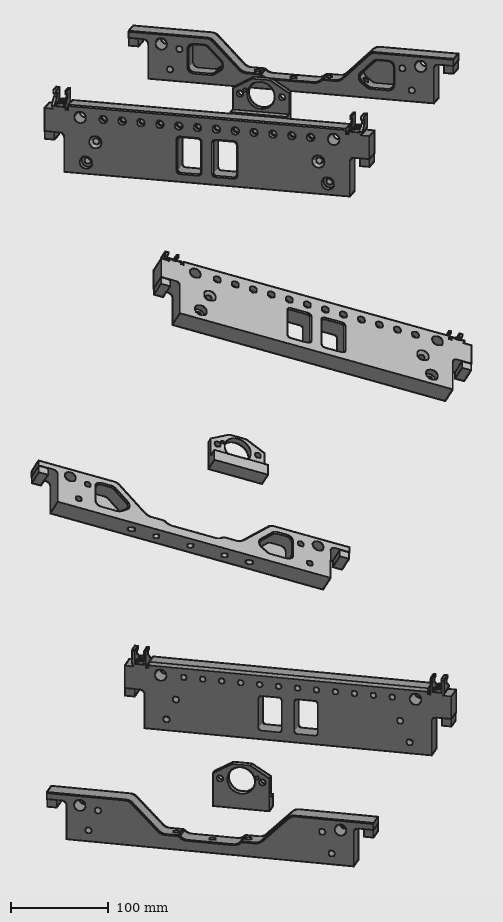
import cadquery as cq
import math

LENGTH = 346.0
DEPTH = 340.0
PLATE_T = 20.0
BODY_W = 304.0
WING_BOTTOM = 42.2
HOOK_W = 10.5
HOOK_BOTTOM = 33.5
HOOK_INSET = 0.7
HOOK_END_INSET = 0.17
WING_CORNER_R = 5.0
TOP_BEVEL = 1.0
RIM_BEVEL = 1.5
UPPER_SCREW = (118.7, 35.0)
LOWER_SCREW = (128.7, 12.0)
SCREW_D = 6.5
DOWEL_D = 12.0

FRONT_Y = 0.0
WING_TOP = 67.0
RIB_W = 295.5
RIB_TOP = 72.5
RIB_FRONT_CHAMFER = 1.5
RIB_BACK_CHAMFER = 2.8
FRONT_DOWEL = (135.0, 60.2)
SCREW_HEAD_D = 13.0
LOWER_HEAD_DEPTH = 7.0
ROW_COUNT = 12
ROW_PITCH = 20.0
ROW_D = 6.0
ROW_MOUTH_D = 8.0
ROW_MOUTH_DEPTH = 7.0
WINDOW_W = 24.5
WINDOW_H = 38.0
WINDOW_X = 19.0
WINDOW_BOTTOM = 9.7
WINDOW_R = 3.0

FIN_TOP = 85.0
FIN_OUTER_X = 165.5
FIN_OUTER_T = 3.0
FIN_INNER_X = 152.5
FIN_INNER_T = 1.7
FIN_FOOT_H = 2.8
FIN_UNDERCUT = 1.5
FIN_FRONT_TOP = 71.0
FIN_NOSE_Y = 7.5
FIN_NOSE_D = 3.8
FIN_NECK_Y = 10.0
FIN_NECK_BOTTOM = 77.0
FIN_SLOPE_BACK_Y = 9.0
FIN_BACK_CHAMFER = 1.5
SADDLE_TOP = 70.0
BOSS_D = 8.5
BOSS_HOLE_D = 5.0
BOSS_H = RIB_TOP - SADDLE_TOP
BOSS_PITCH = PLATE_T / 2

BRACKET_W = 60.0
BRACKET_BACK = 212.8
BRACKET_WALL_T = 7.0
BRACKET_FOOT_DEPTH = 16.0
BRACKET_FOOT_H = 13.5
BRACKET_H = 48.5
BRACKET_SHOULDER_H = 36.5
BRACKET_CREST_W = 19.0
BORE_D = 29.0
BORE_Z = 31.0
BRACKET_HOLE_D = 6.5
BRACKET_HOLE_X = 22.5
PIN_HOLE_D = 3.5
PIN_HOLE = (-17.0, 35.5)

REAR_Y = DEPTH - PLATE_T
REAR_TOP = 49.8
SEAT_TOP = 16.0
SEAT_OUTER_X = 51.5
FLANK_TOP_X = SEAT_OUTER_X + REAR_TOP - SEAT_TOP
BEND_R = 10.0
MIDDLE_DROP = 4.0
MIDDLE_EDGE_X = 32.5
MIDDLE_FLAT_X = 24.2
TOP_HOLE_D = 6.5
TOP_HOLE_PITCH = 38.0
REAR_DOWEL = (138.0, 38.8)
POCKET_DEPTH = 17.0
POCKET_R = 6.0
POCKET_OUTER_X = 109.0
POCKET_FLOOR = 11.0
POCKET_CEILING = 41.0
POCKET_HEEL = (83.7, POCKET_FLOOR)
POCKET_TIP = (70.2, 20.8)
POCKET_SHOULDER = (90.3, POCKET_CEILING)
POCKET = [
    (POCKET_OUTER_X, POCKET_FLOOR),
    POCKET_HEEL,
    POCKET_TIP,
    POCKET_SHOULDER,
    (POCKET_OUTER_X, POCKET_CEILING),
]
SLANTED_HOLE_D = 6.5

TOL = 0.5


def block(x0, x1, y0, y1, z0, z1):
    return cq.Workplane("XY").box(x1 - x0, y1 - y0, z1 - z0, centered=False).translate((x0, y0, z0))


def extrude_y(outline, y0, y1):
    """Prism along Y with an outline given as a closed list of (x, z) points."""
    return cq.Workplane("XZ", origin=(0, y0, 0)).polyline(outline).close().extrude(y0 - y1)


def hole_y(x, z, diameter, y0, depth):
    return cq.Workplane("XZ", origin=(x, y0, z)).circle(diameter / 2).extrude(-depth)


def cone_y(x, z, diameter, y0):
    """45 degree countersink opening toward -Y."""
    r = diameter / 2
    return cq.Workplane(cq.Solid.makeCone(r, 0, r, cq.Vector(x, y0, z), cq.Vector(0, 1, 0)))


def mirrored(points, side):
    return [(side * x, z) for x, z in points]


def both_sides(solid):
    return solid.union(solid.mirror("YZ"))


def box_region(x0, x1, z0, z1):
    """Selects what has its center in this X-Z region, at any Y."""
    return cq.selectors.BoxSelector((x0, -TOL, z0), (x1, DEPTH + TOL, z1))


def cut_opening(plate, outline, y0, depth, corner_r):
    """Opening in a plate's -Y face, with rounded corners and a bevelled rim."""
    plate = plate.cut(extrude_y(outline, y0, y0 + depth).edges("|Y").fillet(corner_r))
    xs = [x for x, z in outline]
    zs = [z for x, z in outline]
    rim = box_region(min(xs) - TOL, max(xs) + TOL, min(zs) - TOL, max(zs) + TOL)
    return plate.faces("<Y").edges(rim).chamfer(RIM_BEVEL)


def hooks(y0):
    """Small lugs hanging below the outer ends of the wings, thinner than the plate."""
    inner = LENGTH / 2 - HOOK_W
    outer = LENGTH / 2 - HOOK_END_INSET
    y1 = y0 + PLATE_T - HOOK_INSET
    hook = block(inner, outer, y0 + HOOK_INSET, y1, HOOK_BOTTOM, WING_BOTTOM)
    return both_sides(hook)


def winged_plate(y0, top):
    """Upright plate whose upper part reaches out past the body to the full length."""
    half = BODY_W / 2
    body = block(-half, half, y0, y0 + PLATE_T, 0, top)
    wings = block(-LENGTH / 2, LENGTH / 2, y0, y0 + PLATE_T, WING_BOTTOM, top)
    plate = body.union(wings)
    corners = box_region(-half - TOL, half + TOL, WING_BOTTOM - TOL, WING_BOTTOM + TOL)
    plate = plate.edges("|Y").edges(corners).fillet(WING_CORNER_R)
    return plate.union(hooks(y0))


def rib():
    profile = [
        (0, WING_TOP),
        (0, RIB_TOP - RIB_FRONT_CHAMFER),
        (RIB_FRONT_CHAMFER, RIB_TOP),
        (PLATE_T - RIB_BACK_CHAMFER, RIB_TOP),
        (PLATE_T, RIB_TOP - RIB_BACK_CHAMFER),
        (PLATE_T, WING_TOP),
    ]
    return cq.Workplane("YZ").polyline(profile).close().extrude(RIB_W / 2, both=True)


def fin(x0, thickness):
    """Upright latch fin with a half-round nose over a notch in its front."""
    nose_bottom = FIN_TOP - FIN_NOSE_D
    nose_tip = (FIN_NOSE_Y - FIN_NOSE_D / 2, FIN_TOP - FIN_NOSE_D / 2)
    return (
        cq.Workplane("YZ", origin=(x0, 0, 0))
        .moveTo(0, WING_TOP)
        .lineTo(0, FIN_FRONT_TOP)
        .lineTo(FIN_SLOPE_BACK_Y, FIN_NECK_BOTTOM)
        .lineTo(FIN_NECK_Y, FIN_NECK_BOTTOM)
        .lineTo(FIN_NECK_Y, nose_bottom)
        .lineTo(FIN_NOSE_Y, nose_bottom)
        .threePointArc(nose_tip, (FIN_NOSE_Y, FIN_TOP))
        .lineTo(PLATE_T - FIN_BACK_CHAMFER, FIN_TOP)
        .lineTo(PLATE_T, FIN_TOP - FIN_BACK_CHAMFER)
        .lineTo(PLATE_T, WING_TOP)
        .close()
        .extrude(thickness)
    )


def fin_pair():
    """Two fins on a wing, with a low saddle and two hollow bosses between them."""
    outer_inside = FIN_OUTER_X - FIN_OUTER_T
    outer = fin(outer_inside, FIN_OUTER_T)
    inner = fin(FIN_INNER_X - FIN_INNER_T, FIN_INNER_T)
    saddle = block(FIN_INNER_X, outer_inside, 0, PLATE_T, WING_TOP, SADDLE_TOP)
    boss_x = (FIN_INNER_X + outer_inside) / 2
    for side in (-1, 1):
        center = (boss_x, PLATE_T / 2 + side * BOSS_PITCH / 2, SADDLE_TOP)
        boss = cq.Workplane("XY", origin=center).circle(BOSS_D / 2).circle(BOSS_HOLE_D / 2).extrude(BOSS_H)
        saddle = saddle.union(boss)
    undercut = extrude_y(
        [
            (FIN_OUTER_X, WING_TOP),
            (FIN_OUTER_X, WING_TOP + FIN_FOOT_H),
            (FIN_OUTER_X - FIN_UNDERCUT, WING_TOP),
        ],
        0,
        PLATE_T,
    )
    return outer.union(saddle).union(inner).cut(undercut)


def make_front_plate():
    plate = winged_plate(FRONT_Y, WING_TOP).union(rib()).union(both_sides(fin_pair()))
    for side in (-1, 1):
        x, z = UPPER_SCREW
        plate = plate.cut(hole_y(side * x, z, SCREW_D, FRONT_Y, PLATE_T))
        plate = plate.cut(cone_y(side * x, z, SCREW_HEAD_D, FRONT_Y))
        x, z = LOWER_SCREW
        plate = plate.cut(hole_y(side * x, z, SCREW_D, FRONT_Y, PLATE_T))
        plate = plate.cut(hole_y(side * x, z, SCREW_HEAD_D, FRONT_Y, LOWER_HEAD_DEPTH))
        x, z = FRONT_DOWEL
        plate = plate.cut(hole_y(side * x, z, DOWEL_D, FRONT_Y, PLATE_T))
        x0 = side * WINDOW_X - WINDOW_W / 2
        x1 = side * WINDOW_X + WINDOW_W / 2
        z1 = WINDOW_BOTTOM + WINDOW_H
        outline = [(x0, WINDOW_BOTTOM), (x1, WINDOW_BOTTOM), (x1, z1), (x0, z1)]
        plate = cut_opening(plate, outline, FRONT_Y, PLATE_T, WINDOW_R)
    row_z = FRONT_DOWEL[1]
    for i in range(ROW_COUNT):
        x = (i - (ROW_COUNT - 1) / 2) * ROW_PITCH
        plate = plate.cut(hole_y(x, row_z, ROW_D, FRONT_Y, PLATE_T))
        plate = plate.cut(hole_y(x, row_z, ROW_MOUTH_D, FRONT_Y, ROW_MOUTH_DEPTH))
    return plate


def make_bracket():
    half = BRACKET_W / 2
    crest = BRACKET_CREST_W / 2
    outline = [
        (-half, 0),
        (half, 0),
        (half, BRACKET_SHOULDER_H),
        (crest, BRACKET_H),
        (-crest, BRACKET_H),
        (-half, BRACKET_SHOULDER_H),
    ]
    wall_y = BRACKET_BACK - BRACKET_WALL_T
    wall = extrude_y(outline, wall_y, BRACKET_BACK)
    foot = block(-half, half, BRACKET_BACK - BRACKET_FOOT_DEPTH, wall_y, 0, BRACKET_FOOT_H)
    bracket = wall.union(foot).cut(hole_y(0, BORE_Z, BORE_D, wall_y, BRACKET_WALL_T))
    for side in (-1, 1):
        bracket = bracket.cut(hole_y(side * BRACKET_HOLE_X, BORE_Z, BRACKET_HOLE_D, wall_y, BRACKET_WALL_T))
    return bracket.cut(hole_y(*PIN_HOLE, PIN_HOLE_D, wall_y, BRACKET_WALL_T))


def saddle_cut():
    """Wide dip in the rear plate's top, with 45 degree flanks and rounded bends."""
    outline = [
        (-FLANK_TOP_X, REAR_TOP),
        (-SEAT_OUTER_X, SEAT_TOP),
        (SEAT_OUTER_X, SEAT_TOP),
        (FLANK_TOP_X, REAR_TOP),
    ]
    return extrude_y(outline, REAR_Y, DEPTH)


def middle_cut():
    """Lower middle stretch, its floor rising through an arc at each end."""
    floor = SEAT_TOP - MIDDLE_DROP
    run = MIDDLE_EDGE_X - MIDDLE_FLAT_X
    radius = (run**2 + MIDDLE_DROP**2) / (2 * MIDDLE_DROP)
    half_angle = math.asin(run / radius) / 2
    mid_x = MIDDLE_FLAT_X + radius * math.sin(half_angle)
    mid_z = floor + radius * (1 - math.cos(half_angle))
    return (
        cq.Workplane("XZ", origin=(0, REAR_Y, 0))
        .moveTo(-MIDDLE_FLAT_X, floor)
        .lineTo(MIDDLE_FLAT_X, floor)
        .threePointArc((mid_x, mid_z), (MIDDLE_EDGE_X, SEAT_TOP))
        .lineTo(-MIDDLE_EDGE_X, SEAT_TOP)
        .threePointArc((-mid_x, mid_z), (-MIDDLE_FLAT_X, floor))
        .close()
        .extrude(-PLATE_T)
    )


def bevel_top(plate):
    """Bevels the long upper edges of both broad faces and the two edges of the middle dip."""
    dip_edges = box_region(-MIDDLE_EDGE_X - TOL, MIDDLE_EDGE_X + TOL, SEAT_TOP - TOL, SEAT_TOP + TOL)
    plate = plate.edges("|Y").edges(dip_edges).chamfer(TOP_BEVEL)
    low = SEAT_TOP - MIDDLE_DROP - TOL
    above_dip = box_region(-FLANK_TOP_X, FLANK_TOP_X, low, REAR_TOP + TOL)
    above_wings = box_region(-LENGTH / 2, LENGTH / 2, REAR_TOP - TOL, REAR_TOP + TOL)
    return plate.faces("<Y or >Y").edges(above_dip + above_wings).chamfer(TOP_BEVEL)


def slanted_hole(side):
    """Hole square to the pocket's slanted lower wall, out through the plate's underside."""
    run = POCKET_HEEL[0] - POCKET_TIP[0]
    rise = POCKET_TIP[1] - POCKET_HEEL[1]
    mid_x = (POCKET_HEEL[0] + POCKET_TIP[0]) / 2
    mid_z = (POCKET_HEEL[1] + POCKET_TIP[1]) / 2
    start = cq.Vector(side * mid_x, REAR_Y + PLATE_T / 2, mid_z)
    direction = cq.Vector(-side * rise, 0, -run)
    length = 2 * mid_z
    return cq.Workplane(cq.Solid.makeCylinder(SLANTED_HOLE_D / 2, length, start, direction))


def make_rear_plate():
    plate = winged_plate(REAR_Y, REAR_TOP).cut(saddle_cut())
    bends = box_region(-FLANK_TOP_X - TOL, FLANK_TOP_X + TOL, SEAT_TOP - TOL, REAR_TOP + TOL)
    plate = plate.edges("|Y").edges(bends).fillet(BEND_R)
    plate = bevel_top(plate.cut(middle_cut()))
    for side in (-1, 1):
        for (x, z), diameter in ((UPPER_SCREW, SCREW_D), (LOWER_SCREW, SCREW_D), (REAR_DOWEL, DOWEL_D)):
            plate = plate.cut(hole_y(side * x, z, diameter, REAR_Y, PLATE_T))
        plate = cut_opening(plate, mirrored(POCKET, side), REAR_Y, POCKET_DEPTH, POCKET_R)
        plate = plate.cut(slanted_hole(side))
    for i in (-1, 0, 1):
        center = (i * TOP_HOLE_PITCH, REAR_Y + PLATE_T / 2, 0)
        plate = plate.cut(cq.Workplane("XY", origin=center).circle(TOP_HOLE_D / 2).extrude(REAR_TOP))
    return plate


front_plate = make_front_plate()
bracket = make_bracket()
rear_plate = make_rear_plate()

result = cq.Compound.makeCompound([front_plate.val(), bracket.val(), rear_plate.val()])